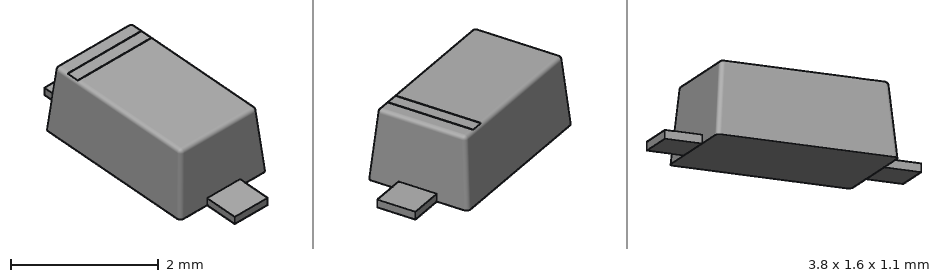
import cadquery as cq

OVERALL_LENGTH = 3.8
HOUSING_LENGTH = 2.698
HOUSING_WIDTH = 1.6
HOUSING_HEIGHT = 1.1
DRAFT_ANGLE = 5.0
EDGE_RADIUS = 0.065

BAND_CENTRE_X = -0.925
BAND_WIDTH = 0.2
BAND_DEPTH = 0.0095

LEAD_WIDTH = 0.608
LEAD_THICKNESS = 0.125


def make_housing():
    """Drafted block with rounded upright and top edges and the band groove."""
    block = (
        cq.Workplane("XY")
        .rect(HOUSING_LENGTH, HOUSING_WIDTH)
        .extrude(HOUSING_HEIGHT, taper=DRAFT_ANGLE)
    )
    rounded = block.edges("not <Z").fillet(EDGE_RADIUS)
    band_groove = (
        cq.Workplane("XY", origin=(BAND_CENTRE_X, 0, HOUSING_HEIGHT - BAND_DEPTH))
        .rect(BAND_WIDTH, HOUSING_WIDTH)
        .extrude(BAND_DEPTH)
    )
    return rounded.cut(band_groove)


def make_lead(side):
    """Flat lead that butts against the foot of an end wall; side is -1 or +1 along X."""
    lead_length = (OVERALL_LENGTH - HOUSING_LENGTH) / 2
    centre_x = side * (HOUSING_LENGTH + lead_length) / 2
    return cq.Workplane("XY").center(centre_x, 0).rect(lead_length, LEAD_WIDTH).extrude(LEAD_THICKNESS)


housing = make_housing()
leads = [make_lead(side) for side in (-1, 1)]

result = cq.Compound.makeCompound([housing.val(), *[lead.val() for lead in leads]])